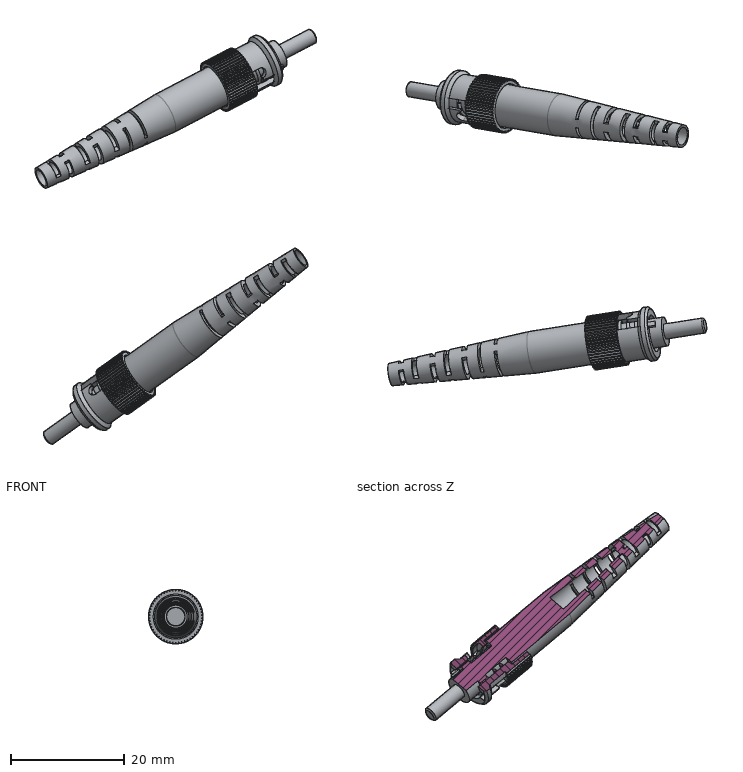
import cadquery as cq
import math


FERRULE_RADIUS = 1.36
TIP_RADIUS = 1.05
TIP_CHAMFER_LENGTH = 0.25
SLEEVE_START = 7.3
SLEEVE_RADIUS = 2.6
KEY_START = 8.35
KEY_TOP = 3.05
KEY_WIDTH = 0.9
COLLAR_START = 10.2
COLLAR_END = 12.1
COLLAR_RADIUS = 3.1

GRIP_START = 17.2
GRIP_RADIUS = 3.75
TAPER_START = 31.65
TAIL_END = 57.66
TAIL_RADIUS = 2.02
BORE_START_RADIUS = 2.55
BORE_END_RADIUS = 1.6
BRIDGE_WIDTH = 1.56
SIDE_BRIDGED_SLOTS = [(37.3, 0.5), (42.95, 0.92), (48.9, 0.92), (54.8, 0.92)]
TOP_BRIDGED_SLOTS = [(40.35, 0.55), (46.3, 0.92), (52.3, 0.92)]

NUT_START = 9.4
NUT_END = 20.75
NUT_RADIUS = 9.65 / 2
FLANGE_CHAMFER = 0.4
FLANGE_CONE_START = 10.6
FLANGE_END = 11.2
BARREL_RADIUS = 4.26
NUT_BORE_RADIUS = 3.25
REAR_BORE_START = 17.0
REAR_BORE_RADIUS = 3.98
KNURL_START = 15.0
KNURL_COUNT = 54
KNURL_DEPTH = 0.3
KNURL_LAND = 0.4

TRACK_WIDTH = 1.9
RAMP_START = 13.25
TRACK_END = 16.0
LATCH_ANGLE = 34
LATCH_STATION = 13.34

SPRING_RADIUS = 2.92
SPRING_WIRE_RADIUS = 0.28
SPRING_PITCH = 1.61
SPRING_CLEARANCE = 0.05
SPRING_START = 12.47


def revolve_profile(points):
    """Revolve (radius, station) points about the Y axis."""
    outline = [(radius, -station) for radius, station in points]
    return cq.Workplane("XY").polyline(outline).close().revolve(360, (0, 0, 0), (0, 1, 0))


def plane_at(station):
    """Workplane across the axis, extruding toward the tail; local axes are X and Z."""
    return cq.Workplane("XZ", origin=(0, -station, 0))


def flex_slot(station, length, turn):
    """Two cuts either side of a pair of bridges; turn 0 leaves the bridges at +-X."""
    cut_height = GRIP_RADIUS
    offset = (BRIDGE_WIDTH + cut_height) / 2
    cuts = (
        plane_at(station)
        .pushPoints([(0, offset), (0, -offset)])
        .rect(2 * GRIP_RADIUS, cut_height)
        .extrude(length)
    )
    return cuts.rotate((0, 0, 0), (0, 1, 0), turn)


def make_core():
    """Ferrule, keyed and collared sleeve, grip and slotted strain relief."""
    core = revolve_profile([
        (0, 0),
        (TIP_RADIUS, 0),
        (FERRULE_RADIUS, TIP_CHAMFER_LENGTH),
        (FERRULE_RADIUS, SLEEVE_START),
        (SLEEVE_RADIUS, SLEEVE_START),
        (SLEEVE_RADIUS, COLLAR_START),
        (COLLAR_RADIUS, COLLAR_START),
        (COLLAR_RADIUS, COLLAR_END),
        (SLEEVE_RADIUS, COLLAR_END),
        (SLEEVE_RADIUS, GRIP_START),
        (GRIP_RADIUS, GRIP_START),
        (GRIP_RADIUS, TAPER_START),
        (TAIL_RADIUS, TAIL_END),
        (BORE_END_RADIUS, TAIL_END),
        (BORE_START_RADIUS, TAPER_START),
        (0, TAPER_START),
    ])
    key = (
        plane_at(KEY_START)
        .center(KEY_TOP / 2, 0)
        .rect(KEY_TOP, KEY_WIDTH)
        .extrude(COLLAR_END - KEY_START)
    )
    core = core.union(key)
    for station, length in SIDE_BRIDGED_SLOTS:
        core = core.cut(flex_slot(station, length, 0))
    for station, length in TOP_BRIDGED_SLOTS:
        core = core.cut(flex_slot(station, length, 90))
    return core


def track_channel(start):
    """Straight-sided channel from the axis out to +X, running back from a station."""
    reach = 2 * BARREL_RADIUS
    return (
        plane_at(start)
        .center(reach / 2, 0)
        .rect(reach, TRACK_WIDTH)
        .extrude(TRACK_END - start)
    )


def bayonet_track():
    """Entry channel at +X, ramp turning toward +Z and round-nosed latch channel."""
    reach = 2 * BARREL_RADIUS
    latch_angle = math.radians(LATCH_ANGLE)
    ramp = (
        plane_at(RAMP_START)
        .polyline([
            (0, 0),
            (reach, 0),
            (reach * math.cos(latch_angle), reach * math.sin(latch_angle)),
        ])
        .close()
        .extrude(TRACK_END - RAMP_START)
    )
    latch_nose = (
        cq.Workplane("YZ")
        .center(-LATCH_STATION, 0)
        .circle(TRACK_WIDTH / 2)
        .extrude(reach)
    )
    latch = track_channel(LATCH_STATION).union(latch_nose)
    latch = latch.rotate((0, 0, 0), (0, 1, 0), -LATCH_ANGLE)
    limit = plane_at(NUT_START).circle(BARREL_RADIUS).extrude(NUT_END - NUT_START)
    return track_channel(NUT_START).union(ramp).union(latch).intersect(limit)


def knurled_grip():
    """Solid band of flat-topped teeth with V grooves between them, running along the axis."""
    spacing = 2 * math.pi / KNURL_COUNT
    half_land = KNURL_LAND * spacing / 2
    root_radius = NUT_RADIUS - KNURL_DEPTH
    outline = []
    for index in range(KNURL_COUNT):
        middle = index * spacing
        for radius, angle in (
            (NUT_RADIUS, middle - half_land),
            (NUT_RADIUS, middle + half_land),
            (root_radius, middle + spacing / 2),
        ):
            outline.append((radius * math.cos(angle), radius * math.sin(angle)))
    return plane_at(KNURL_START).polyline(outline).close().extrude(NUT_END - KNURL_START)


def make_nut():
    """Flanged barrel with a stepped bore, two bayonet tracks and a knurled grip."""
    nut = revolve_profile([
        (0, NUT_START),
        (NUT_RADIUS - FLANGE_CHAMFER, NUT_START),
        (NUT_RADIUS, NUT_START + FLANGE_CHAMFER),
        (NUT_RADIUS, FLANGE_CONE_START),
        (BARREL_RADIUS, FLANGE_END),
        (BARREL_RADIUS, KNURL_START),
        (0, KNURL_START),
    ])
    nut = nut.union(knurled_grip())
    bore = plane_at(NUT_START).circle(NUT_BORE_RADIUS).extrude(NUT_END - NUT_START)
    rear_bore = plane_at(REAR_BORE_START).circle(REAR_BORE_RADIUS).extrude(NUT_END - REAR_BORE_START)
    nut = nut.cut(bore).cut(rear_bore)
    for turn in (0, 180):
        nut = nut.cut(bayonet_track().rotate((0, 0, 0), (0, 1, 0), turn))
    return nut


def make_spring():
    """Coil around the sleeve, starting at the -X side and ending just short of the grip shoulder."""
    height = GRIP_START - SPRING_CLEARANCE - SPRING_WIRE_RADIUS - SPRING_START
    path = cq.Workplane(obj=cq.Wire.makeHelix(SPRING_PITCH, height, SPRING_RADIUS))
    coil = (
        cq.Workplane("XZ", origin=(SPRING_RADIUS, 0, 0))
        .circle(SPRING_WIRE_RADIUS)
        .sweep(path, isFrenet=True)
    )
    coil = coil.rotate((0, 0, 0), (1, 0, 0), 90).rotate((0, 0, 0), (0, 1, 0), 180)
    return coil.translate((0, -SPRING_START, 0))


core = make_core()
nut = make_nut()
spring = make_spring()

result = cq.Compound.makeCompound([*core.solids().vals(), *nut.solids().vals(), *spring.vals()])